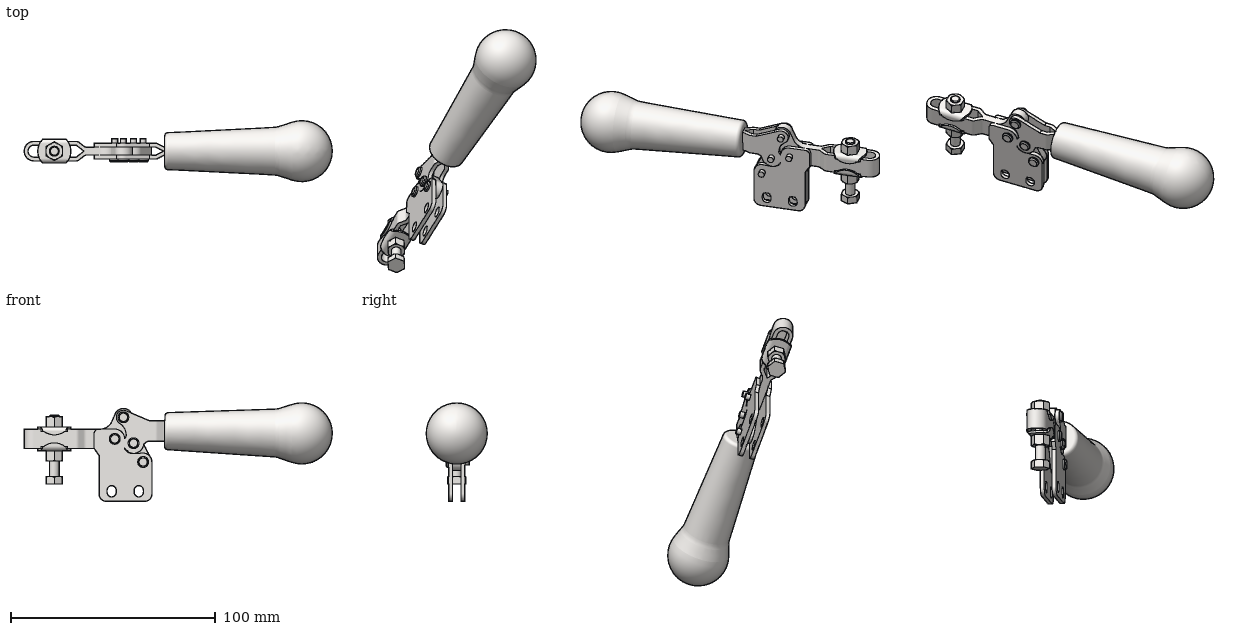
import cadquery as cq
import math

LENGTH = 150.7
HEIGHT = 48.2

sheet = 2.0
core_half = sheet
side_half = core_half + sheet

arm_pivot = (44.3, 30.6)
arm_lever_pin = (48.5, 41.1)
lever_link_pin = (53.5, 28.5)
link_base_pin = (58.2, 19.3)
pin_radius = 1.5
pin_back = 6.2
pin_head_radius = 5.3 / 2
pin_head_height = 1.4
pin_head_chamfer = 0.6

arm_half_height = 4.8
arm_loop_half = 4.8
arm_bend_x = 26.2
arm_pinch_x = 29.8
arm_eye_radius = 4.4
horn_foot = (37.4, arm_pivot[1] + arm_half_height)
horn_curve = (40.4, 36.3)
horn_flank = (42.8, 38.9)
horn_flank_end = 155

lever_top_z = 39.5
lever_bottom_z = 29.4
lever_bend_x = 64.8
lever_pinch_x = 68.5
lever_tail_x = 72.3
lever_elbow_x = 61.3
lever_top_slope = 23.0
lever_eye_side = 150
lever_eye_end = 235
lever_front_x = 49.7
lever_front_curve = (49.1, 35.5)
lever_front_z = 30.9
lever_throat_curve = (59.4, 28.8)
lever_throat_start = -12
lever_upper_eye_radius = 3.5
lever_lower_eye_radius = 5.0
bend_radius = 2.3

link_radius = 4.2

base_left_x = 36.6
base_ear_x = 34.2
base_ear_z = 25.9
base_foot_z = 22.5
base_corner_radius = 3.6
base_rear_radius = 4.4
notch_clearance = 0.2
slot_positions = (42.8, 56.0)
slot_z = 5.0
slot_width = 4.4
slot_height = 5.4

spindle_x = 14.8
spindle_radius = 2.4
spindle_top_z = 42.2
spindle_tip_chamfer = 0.5
hex_flats = 8.0
nut_height = 5.0
hex_chamfer = 0.5
head_bottom_z = 8.5
head_height = 3.8
washer_radius = 8.1
washer_thickness = 1.0
washer_bend_radius = 2.3
flap_half_width = 5.0
flap_sag = 1.7

ball_radius = 30.0 / 2
ball_x = LENGTH - ball_radius
ball_z = HEIGHT - ball_radius
handle_tilt = 1.0
handle_length = 67.0
handle_end_radius = 9.0
handle_end_round = 1.8
grip_end_radius = 11.8
grip_end = 13.1
neck_start = 10.4
neck_angle = math.radians(18)


def polar(center, radius, degrees):
    """Point on a circle in the XZ plane."""
    angle = math.radians(degrees)
    return (center[0] + radius * math.cos(angle), center[1] + radius * math.sin(angle))


def disc(center, radius, half_depth):
    """Disc across Y, centred on the mid plane."""
    return cq.Workplane("XZ").center(*center).circle(radius).extrude(half_depth, both=True)


def two_eye_plate(first, first_radius, second, second_radius, half_depth):
    """Plate around two eyes joined by their outer tangents."""
    dx = second[0] - first[0]
    dz = second[1] - first[1]
    heading = math.degrees(math.atan2(dz, dx))
    spread = math.degrees(math.acos((first_radius - second_radius) / math.hypot(dx, dz)))
    web = (
        cq.Workplane("XZ")
        .polyline([
            polar(first, first_radius, heading + spread),
            polar(second, second_radius, heading + spread),
            polar(second, second_radius, heading - spread),
            polar(first, first_radius, heading - spread),
        ])
        .close()
        .extrude(half_depth, both=True)
    )
    return web.union(disc(first, first_radius, half_depth)).union(disc(second, second_radius, half_depth))


def inner_bend(bend_x, bend_half, pinch_x):
    """Bend corner and closing point of the inner faces of a pair of converging plates."""
    slope = math.atan2(bend_half - core_half, pinch_x - bend_x)
    corner_x = bend_x - sheet * math.tan(slope / 2)
    closing_x = corner_x + (bend_half - sheet) / math.tan(slope)
    return corner_x, closing_x


def round_bends(plan, bend_positions):
    """Round the outer vertical edges of a plan shape at the given X positions."""
    reach = 0.2
    for bend_x in bend_positions:
        selector = cq.selectors.BoxSelector(
            (bend_x - reach, -LENGTH, -LENGTH), (bend_x + reach, LENGTH, LENGTH)
        )
        plan = plan.edges("|Z").edges(selector).fillet(bend_radius)
    return plan


def make_arm():
    top_z = arm_pivot[1] + arm_half_height
    bottom_z = arm_pivot[1] - arm_half_height
    eye_left = polar(arm_lever_pin, arm_eye_radius, horn_flank_end)
    bar = (
        cq.Workplane("XZ")
        .moveTo(0, bottom_z)
        .lineTo(arm_pivot[0], bottom_z)
        .lineTo(*arm_lever_pin)
        .lineTo(*eye_left)
        .lineTo(*horn_flank)
        .threePointArc(horn_curve, horn_foot)
        .lineTo(0, top_z)
        .close()
        .extrude(arm_loop_half, both=True)
    )
    side = bar.union(
        two_eye_plate(arm_pivot, arm_half_height, arm_lever_pin, arm_eye_radius, arm_loop_half)
    )
    rear_x = arm_lever_pin[0] + arm_eye_radius
    height = arm_lever_pin[1] + arm_eye_radius
    plan = (
        cq.Workplane("XY")
        .moveTo(arm_loop_half, arm_loop_half)
        .lineTo(arm_bend_x, arm_loop_half)
        .lineTo(arm_pinch_x, core_half)
        .lineTo(rear_x, core_half)
        .lineTo(rear_x, -core_half)
        .lineTo(arm_pinch_x, -core_half)
        .lineTo(arm_bend_x, -arm_loop_half)
        .lineTo(arm_loop_half, -arm_loop_half)
        .threePointArc((0, 0), (arm_loop_half, arm_loop_half))
        .close()
        .extrude(height)
    )
    plan = round_bends(plan, (arm_bend_x, arm_pinch_x))
    corner_x, closing_x = inner_bend(arm_bend_x, arm_loop_half, arm_pinch_x)
    opening_half = arm_loop_half - sheet
    opening = (
        cq.Workplane("XY")
        .moveTo(arm_loop_half, opening_half)
        .lineTo(corner_x, opening_half)
        .lineTo(closing_x, 0)
        .lineTo(corner_x, -opening_half)
        .lineTo(arm_loop_half, -opening_half)
        .threePointArc((sheet, 0), (arm_loop_half, opening_half))
        .close()
        .extrude(height)
    )
    return side.intersect(plan.cut(opening))


def make_lever():
    eye_top = polar(arm_lever_pin, lever_upper_eye_radius, 90 - lever_top_slope)
    eye_side = polar(arm_lever_pin, lever_upper_eye_radius, lever_eye_side)
    eye_bottom = polar(arm_lever_pin, lever_upper_eye_radius, lever_eye_end)
    side = (
        cq.Workplane("XZ")
        .moveTo(lever_tail_x, lever_top_z)
        .lineTo(lever_elbow_x, lever_top_z)
        .lineTo(*eye_top)
        .threePointArc(eye_side, eye_bottom)
        .threePointArc(lever_front_curve, (lever_front_x, lever_front_z))
        .lineTo(lever_front_x, lever_link_pin[1])
        .lineTo(*lever_link_pin)
        .lineTo(*polar(lever_link_pin, lever_lower_eye_radius, lever_throat_start))
        .threePointArc(lever_throat_curve, (lever_elbow_x, lever_bottom_z))
        .lineTo(lever_tail_x, lever_bottom_z)
        .close()
        .extrude(side_half, both=True)
        .union(disc(lever_link_pin, lever_lower_eye_radius, side_half))
    )
    front_x = arm_lever_pin[0] - lever_upper_eye_radius
    height = arm_lever_pin[1] + arm_eye_radius
    plan = (
        cq.Workplane("XY")
        .polyline([
            (front_x, side_half), (lever_bend_x, side_half), (lever_pinch_x, core_half),
            (lever_tail_x, core_half), (lever_tail_x, -core_half), (lever_pinch_x, -core_half),
            (lever_bend_x, -side_half), (front_x, -side_half),
        ])
        .close()
        .extrude(height)
    )
    plan = round_bends(plan, (lever_bend_x, lever_pinch_x))
    corner_x, closing_x = inner_bend(lever_bend_x, side_half, lever_pinch_x)
    gap = (
        cq.Workplane("XY")
        .polyline([
            (front_x, core_half), (corner_x, core_half), (closing_x, 0),
            (corner_x, -core_half), (front_x, -core_half),
        ])
        .close()
        .extrude(height)
    )
    return side.intersect(plan.cut(gap))


def make_base():
    notch_radius = lever_lower_eye_radius + notch_clearance
    notch_z = lever_link_pin[1] - notch_radius
    ear_right_x = arm_pivot[0] + arm_half_height
    ear_top_z = arm_pivot[1] + arm_half_height
    notch_side = lever_link_pin[0] - ear_right_x
    notch_side_z = lever_link_pin[1] - math.sqrt(notch_radius**2 - notch_side**2)
    right_x = link_base_pin[0] + base_rear_radius
    rear_top_z = link_base_pin[1] + base_rear_radius
    plates = (
        cq.Workplane("XZ")
        .moveTo(base_left_x, 0)
        .lineTo(right_x, 0)
        .lineTo(right_x, link_base_pin[1])
        .threePointArc(polar(link_base_pin, base_rear_radius, 45), (link_base_pin[0], rear_top_z))
        .lineTo(lever_link_pin[0], notch_z)
        .threePointArc(polar(lever_link_pin, notch_radius, 240), (ear_right_x, notch_side_z))
        .lineTo(ear_right_x, arm_pivot[1])
        .threePointArc(polar(arm_pivot, arm_half_height, 45), (arm_pivot[0], ear_top_z))
        .lineTo(base_ear_x, ear_top_z)
        .lineTo(base_ear_x, base_ear_z)
        .lineTo(base_left_x, base_foot_z)
        .close()
        .extrude(side_half, both=True)
    )
    plates = plates.edges("|Y and <Z").fillet(base_corner_radius)
    plates = plates.edges("|Y and <X").edges(">Z").fillet(bend_radius)
    for x in slot_positions:
        slot = (
            cq.Workplane("XZ")
            .center(x, slot_z)
            .slot2D(slot_height, slot_width, 90)
            .extrude(side_half, both=True)
        )
        plates = plates.cut(slot)
    gap = cq.Workplane("XY").box(LENGTH, 2 * core_half, LENGTH)
    return plates.cut(gap)


def make_pin(center):
    shank = (
        cq.Workplane("XZ", origin=(0, pin_back, 0))
        .center(*center)
        .circle(pin_radius)
        .extrude(pin_back + side_half)
    )
    head = (
        cq.Workplane("XZ", origin=(0, -side_half, 0))
        .center(*center)
        .circle(pin_head_radius)
        .extrude(pin_head_height)
        .faces("<Y")
        .chamfer(pin_head_chamfer)
    )
    return shank.union(head)


def make_hex(bottom_z, height, turned_face):
    """Hexagon with flats facing X; the corners of the chosen end are turned off."""
    corner_diameter = hex_flats / math.cos(math.radians(30))
    hexagon = (
        cq.Workplane("XY", origin=(spindle_x, 0, bottom_z))
        .polygon(6, corner_diameter)
        .extrude(height)
        .rotate((spindle_x, 0, 0), (spindle_x, 0, 1), 30)
    )
    turned = (
        cq.Workplane("XY", origin=(spindle_x, 0, bottom_z))
        .circle(corner_diameter / 2)
        .extrude(height)
        .faces(turned_face)
        .chamfer(hex_chamfer)
    )
    return hexagon.intersect(turned)


def make_washer():
    """Upper washer: a disc on the arm with both sides folded down over the loop."""
    top_z = arm_pivot[1] + arm_half_height + washer_thickness
    outer_half = arm_loop_half + washer_thickness
    fold_z = top_z - washer_bend_radius
    flap_end_z = fold_z - flap_sag
    base_plane = cq.Workplane("XY", origin=(spindle_x, 0, flap_end_z))
    height = top_z - flap_end_z
    block = (
        base_plane.rect(2 * washer_radius, 2 * outer_half)
        .extrude(height)
        .edges("|X and >Z")
        .fillet(washer_bend_radius)
    )
    hollow = (
        base_plane.rect(2 * washer_radius, 2 * arm_loop_half)
        .extrude(height - washer_thickness)
        .edges("|X and >Z")
        .fillet(washer_bend_radius - washer_thickness)
    )
    round_plan = base_plane.circle(washer_radius).extrude(height)
    flap_outline = (
        cq.Workplane("XZ")
        .moveTo(spindle_x - flap_half_width, fold_z)
        .threePointArc((spindle_x, flap_end_z), (spindle_x + flap_half_width, fold_z))
        .lineTo(spindle_x + washer_radius, fold_z)
        .lineTo(spindle_x + washer_radius, top_z)
        .lineTo(spindle_x - washer_radius, top_z)
        .lineTo(spindle_x - washer_radius, fold_z)
        .close()
        .extrude(outer_half, both=True)
    )
    return block.cut(hollow).intersect(round_plan).intersect(flap_outline)


def make_spindle():
    washer = make_washer()
    seat = arm_half_height + washer_thickness
    bolt = (
        cq.Workplane("XY", origin=(spindle_x, 0, head_bottom_z))
        .circle(spindle_radius)
        .extrude(spindle_top_z - head_bottom_z)
        .faces(">Z")
        .chamfer(spindle_tip_chamfer)
    )
    return (
        bolt.union(make_hex(head_bottom_z, head_height, ">Z"))
        .union(make_hex(arm_pivot[1] + seat, nut_height, ">Z"))
        .union(make_hex(arm_pivot[1] - seat - nut_height, nut_height, "<Z"))
        .union(washer)
        .union(washer.mirror("XY", (0, 0, arm_pivot[1])))
    )


def make_handle():
    """Tapered grip with a ball end, turned about its own axis and tilted about the ball centre."""
    ball_tangent = (-ball_radius * math.sin(neck_angle), ball_radius * math.cos(neck_angle))
    neck_radius = ball_tangent[1] - (neck_start + ball_tangent[0]) * math.tan(neck_angle)
    profile = (
        cq.Workplane("XZ")
        .moveTo(-handle_length, 0)
        .lineTo(-handle_length, handle_end_radius)
        .lineTo(-grip_end, grip_end_radius)
        .tangentArcPoint((-neck_start, neck_radius), relative=False)
        .lineTo(*ball_tangent)
        .threePointArc((ball_radius * math.sin(neck_angle), ball_tangent[1]), (ball_radius, 0))
        .close()
    )
    grip = profile.revolve(360, (0, 0, 0), (1, 0, 0))
    grip = grip.edges("<X").fillet(handle_end_round)
    return grip.rotate((0, 0, 0), (0, 1, 0), handle_tilt).translate((ball_x, 0, ball_z))


result = make_arm()
for body in (
    make_lever(),
    make_base(),
    two_eye_plate(lever_link_pin, link_radius, link_base_pin, link_radius, core_half),
    make_spindle(),
    make_handle(),
):
    result = result.union(body)
for pin in (arm_pivot, arm_lever_pin, lever_link_pin, link_base_pin):
    result = result.union(make_pin(pin))